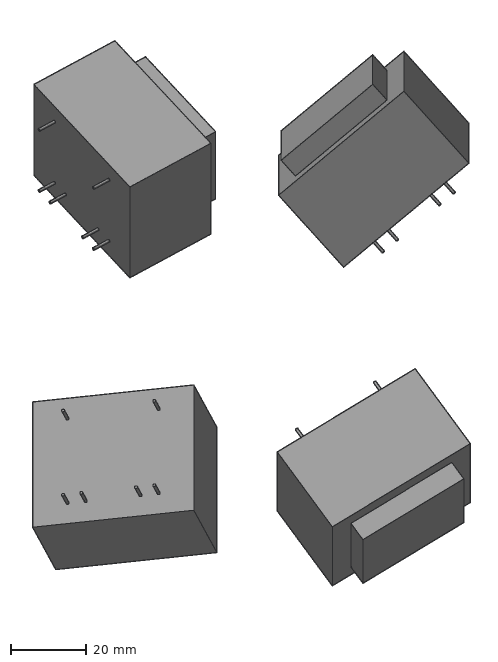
import cadquery as cq

CASE_WIDTH = 44.2
CASE_HEIGHT = 37.2
CASE_DEPTH = 26.5

RIM_WIDTH = 0.9
POTTING_WIDTH = CASE_WIDTH - 2 * RIM_WIDTH
POTTING_HEIGHT = CASE_HEIGHT - 2 * RIM_WIDTH
POTTING_DEPTH = CASE_DEPTH - RIM_WIDTH

CORE_WIDTH = 32.3
CORE_HEIGHT = 27.5
CORE_DEPTH = 5.8

PIN_PITCH = 5.0
PIN_DIAMETER = 0.8
PIN_LENGTH = 5.1
OUTER_PIN_X = 2.5 * PIN_PITCH
INNER_PIN_X = 1.5 * PIN_PITCH
PIN_ROW_Z = 2.5 * PIN_PITCH
UPPER_PINS = [(x, PIN_ROW_Z) for x in (-OUTER_PIN_X, OUTER_PIN_X)]
LOWER_PINS = [(x, -PIN_ROW_Z) for x in (-OUTER_PIN_X, -INNER_PIN_X, INNER_PIN_X, OUTER_PIN_X)]


def block(width, depth, height, front_y):
    """Box centred on X and Z that runs toward +Y from front_y."""
    return cq.Workplane("XY").box(width, depth, height).translate((0, front_y + depth / 2, 0))


def make_potted_case():
    """Case and potting fused into one body, with the seam between them kept."""
    potting = block(POTTING_WIDTH, POTTING_DEPTH, POTTING_HEIGHT, 0)
    shell = block(CASE_WIDTH, CASE_DEPTH, CASE_HEIGHT, 0).cut(potting)
    return shell.union(potting, clean=False)


def make_core():
    return block(CORE_WIDTH, CORE_DEPTH, CORE_HEIGHT, CASE_DEPTH)


def make_pins():
    """All pins, from the pin face toward -Y."""
    return (
        cq.Workplane("XZ")
        .pushPoints(UPPER_PINS + LOWER_PINS)
        .circle(PIN_DIAMETER / 2)
        .extrude(PIN_LENGTH)
    )


result = make_potted_case().union(make_core(), clean=False).union(make_pins(), clean=False)